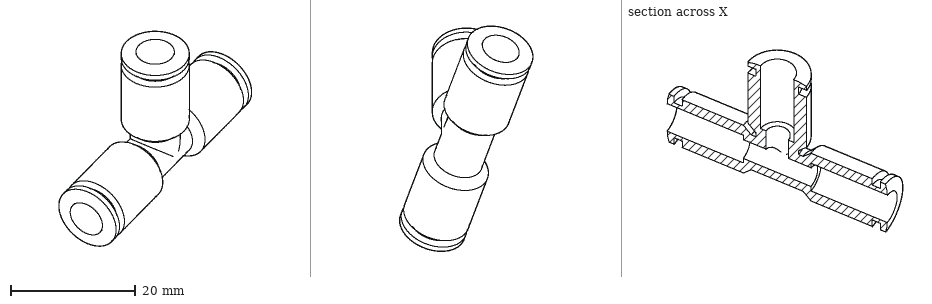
import cadquery as cq

reach = 20.6
body_diameter = 11.0
stem_diameter = 8.08
collar_length = 1.3
collar_face_depth = 0.35
neck_length = 1.5
body_length = 11.5
tube_diameter = 6.2
bore_diameter = 4.15
socket_depth = 14.25

body_radius = body_diameter / 2
stem_radius = stem_diameter / 2
collar_start = reach - collar_length
body_end = collar_start - neck_length
body_start = body_end - body_length
taper_start = body_start - (body_radius - stem_radius)


def port_solid():
    """Outer shape of one arm along +Z, turned from a half profile."""
    return (
        cq.Workplane("XZ")
        .lineTo(stem_radius, 0)
        .lineTo(stem_radius, taper_start)
        .lineTo(body_radius, body_start)
        .lineTo(body_radius, body_end)
        .lineTo(stem_radius, body_end)
        .lineTo(stem_radius, collar_start)
        .lineTo(body_radius, collar_start)
        .lineTo(body_radius, reach - collar_face_depth)
        .lineTo(stem_radius, reach)
        .lineTo(0, reach)
        .close()
        .revolve(360, (0, 0, 0), (0, 1, 0))
    )


def port_bore():
    """Stepped hole of one arm: tube socket, then the narrower passage."""
    passage = cq.Workplane("XY").circle(bore_diameter / 2).extrude(reach)
    socket = (
        cq.Workplane("XY")
        .workplane(offset=reach - socket_depth)
        .circle(tube_diameter / 2)
        .extrude(socket_depth)
    )
    return passage.union(socket)


port_angles = (-90, 0, 90)
outside = cq.Workplane("XY")
bores = cq.Workplane("XY")
for angle in port_angles:
    outside = outside.add(port_solid().rotate((0, 0, 0), (1, 0, 0), angle))
    bores = bores.add(port_bore().rotate((0, 0, 0), (1, 0, 0), angle))

result = outside.combine().cut(bores.combine())